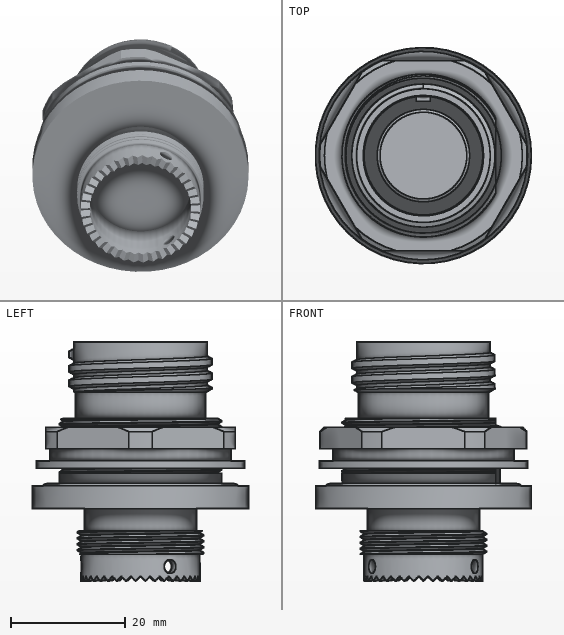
import cadquery as cq
import math

SKIRT_BOTTOM_Z = -12.7
REAR_THREAD_BOTTOM_Z = -7.98
REAR_THREAD_TOP_Z = -3.86
FLANGE_TOP_Z = 4.0
PANEL_THREAD_BOTTOM_Z = 6.23
WASHER_BOTTOM_Z = 7.08
WASHER_TOP_Z = 8.38
NUT_BOTTOM_Z = 10.46
NUT_TOP_Z = 14.3
PANEL_THREAD_TOP_Z = 15.82
COUPLING_BOTTOM_Z = 20.36
TOP_Z = 29.21

FLANGE_RADIUS = 37.85 / 2
SKIRT_RADIUS = 10.43
REAR_NECK_RADIUS = 9.84
FRONT_NECK_RADIUS = 11.42
COUPLING_RADIUS = 11.7
COUPLING_CREST_RADIUS = 12.54
REAR_CREST_RADIUS = 11.08
PANEL_RADIUS = 14.27
PANEL_ROOT_RADIUS = 13.57
SLEEVE_RADIUS = 13.43
NUT_BORE_RADIUS = 13.65
SLEEVE_LIP_HEIGHT = 0.35
WASHER_RADIUS = 18.25
NUT_COLLAR_RADIUS = 15.9

PANEL_FLAT_X = 12.7

NUT_SIDES = 6
NUT_ACROSS_FLATS = 33.26
NUT_CORNER_RADIUS = 18.15
NUT_CHAMFER = 0.82
NUT_TURN = 30

SEAL_CENTRE_RADIUS = 16.3
SEAL_SECTION_RADIUS = 0.95
SEAL_PROUD = 0.42

COUPLING_PITCH = 2.54
COUPLING_ROOT_WIDTH = 1.95
COUPLING_CREST_WIDTH = 1.06
COUPLING_END_Z = 27.03
COUPLING_END_ANGLE = 90
COUPLING_BEVEL_ANGLE = 30
PANEL_PITCH = 1.06
PANEL_ROOT_WIDTH = 0.95
PANEL_RIDGE_Z = 15.07
PANEL_BEVEL_HEIGHT = 0.35
REAR_PITCH = 1.03
REAR_ROOT_WIDTH = 0.9
REAR_RIDGE_Z = -4.93
FINE_CREST_WIDTH = 0.1
FINE_RIDGE_ANGLE = 180

RIDGE_EMBED = 0.05

BORE_RADIUS = 10.4
BORE_MOUTH_RADIUS = 10.55
BORE_MOUTH_DEPTH = 1.0
BORE_DEPTH = 12.0
INSERT_RADIUS = 8.1
INSERT_CHAMFER = 0.5
INSERT_DROP = 0.15
KEY_WIDTH = 2.48
KEY_TIP_Y = 9.49
KEY_TOP_DEPTH = 5.0

SKIRT_BORE_RADIUS = 8.88
TOOTH_COUNT = 38
TOOTH_DEPTH = 0.87
SKIRT_HOLE_DIAMETER = 2.36
SKIRT_HOLE_Z = -10.12
SKIRT_HOLE_ANGLES = (-150, -30, 90)


def cylinder(radius, bottom, top):
    return cq.Workplane("XY").workplane(offset=bottom).circle(radius).extrude(top - bottom)


def ring(outer_radius, inner_radius, bottom, top):
    return cylinder(outer_radius, bottom, top).cut(cylinder(inner_radius, bottom, top))


def threaded_rod(root_radius, crest_radius, root_width, crest_width, pitch, start_z, start_angle, turns):
    """Round rod with a right-handed ridge that starts, centred on start_z, at start_angle."""
    inner = root_radius - RIDGE_EMBED
    slope = (root_width - crest_width) / 2 / (crest_radius - root_radius)
    inner_half = root_width / 2 + RIDGE_EMBED * slope
    crest_half = crest_width / 2
    path = cq.Wire.makeHelix(pitch, pitch * turns, inner)
    ridge = (
        cq.Workplane("XZ")
        .moveTo(inner, -inner_half)
        .lineTo(crest_radius, -crest_half)
        .lineTo(crest_radius, crest_half)
        .lineTo(inner, inner_half)
        .close()
        .sweep(cq.Workplane(path), isFrenet=True)
        .rotate((0, 0, 0), (0, 0, 1), start_angle)
        .translate((0, 0, start_z))
    )
    end_z = start_z + pitch * turns
    return cylinder(root_radius, start_z - pitch, end_z + pitch).union(ridge)


def fine_thread(root_radius, crest_radius, root_width, pitch, ridge_z, bottom, top):
    """Pointed thread filling bottom to top, with a ridge at ridge_z on its -X side."""
    turns_below = math.ceil((ridge_z - bottom) / pitch) + 1
    turns_above = math.ceil((top - ridge_z) / pitch) + 1
    rod = threaded_rod(
        root_radius,
        crest_radius,
        root_width,
        FINE_CREST_WIDTH,
        pitch,
        ridge_z - turns_below * pitch,
        FINE_RIDGE_ANGLE,
        turns_below + turns_above,
    )
    return rod.intersect(cylinder(FLANGE_RADIUS, bottom, top))


def make_shell():
    """Turned rear neck, flange and front neck."""
    shell = cylinder(REAR_NECK_RADIUS, REAR_THREAD_TOP_Z, 0)
    shell = shell.union(cylinder(FLANGE_RADIUS, 0, FLANGE_TOP_Z))
    return shell.union(cylinder(FRONT_NECK_RADIUS, FLANGE_TOP_Z, COUPLING_BOTTOM_Z))


def make_coupling():
    """Front tube with a coarse thread, bevelled at its lower end."""
    turns = math.ceil((COUPLING_END_Z - COUPLING_BOTTOM_Z) / COUPLING_PITCH) + 1
    rod = threaded_rod(
        COUPLING_RADIUS,
        COUPLING_CREST_RADIUS,
        COUPLING_ROOT_WIDTH,
        COUPLING_CREST_WIDTH,
        COUPLING_PITCH,
        COUPLING_END_Z - turns * COUPLING_PITCH,
        COUPLING_END_ANGLE,
        turns,
    )
    bevel_width = FLANGE_RADIUS - FRONT_NECK_RADIUS
    bevel_height = bevel_width * math.tan(math.radians(COUPLING_BEVEL_ANGLE))
    envelope = cylinder(FLANGE_RADIUS, COUPLING_BOTTOM_Z, TOP_Z)
    return rod.intersect(envelope.faces("<Z").chamfer(bevel_height, bevel_width))


def make_panel_neck():
    """Threaded neck with one flat, and the round sleeve and lip that stand out of the flat."""
    neck = cylinder(PANEL_RADIUS, FLANGE_TOP_Z, PANEL_THREAD_BOTTOM_Z)
    neck = neck.union(
        fine_thread(
            PANEL_ROOT_RADIUS,
            PANEL_RADIUS,
            PANEL_ROOT_WIDTH,
            PANEL_PITCH,
            PANEL_RIDGE_Z,
            PANEL_THREAD_BOTTOM_Z,
            PANEL_THREAD_TOP_Z,
        )
    )
    bevelled = cylinder(PANEL_RADIUS, FLANGE_TOP_Z, PANEL_THREAD_TOP_Z)
    bevelled = bevelled.faces(">Z").chamfer(PANEL_BEVEL_HEIGHT, PANEL_RADIUS - PANEL_ROOT_RADIUS)
    neck = neck.intersect(bevelled)
    kept_side = cq.Workplane("XY").box(
        PANEL_FLAT_X + FLANGE_RADIUS, 2 * FLANGE_RADIUS, TOP_Z, centered=(False, True, False)
    )
    neck = neck.intersect(kept_side.translate((-FLANGE_RADIUS, 0, 0)))
    sleeve = cylinder(SLEEVE_RADIUS, FLANGE_TOP_Z, NUT_TOP_Z)
    lip = cylinder(NUT_BORE_RADIUS, NUT_BOTTOM_Z, NUT_TOP_Z + SLEEVE_LIP_HEIGHT)
    lip = lip.faces(">Z").chamfer(SLEEVE_LIP_HEIGHT, NUT_BORE_RADIUS - PANEL_FLAT_X)
    return neck.union(sleeve).union(lip)


def make_nut():
    """Hexagon nut with rounded, chamfered corners, its collar and the washer below."""
    hexagon = (
        cq.Workplane("XY")
        .workplane(offset=NUT_BOTTOM_Z)
        .polygon(NUT_SIDES, NUT_ACROSS_FLATS, circumscribed=True)
        .extrude(NUT_TOP_Z - NUT_BOTTOM_Z)
        .rotate((0, 0, 0), (0, 0, 1), NUT_TURN)
    )
    envelope = cylinder(NUT_CORNER_RADIUS, NUT_BOTTOM_Z, NUT_TOP_Z).faces(">Z").chamfer(NUT_CHAMFER)
    nut = hexagon.intersect(envelope)
    nut = nut.union(ring(NUT_COLLAR_RADIUS, FRONT_NECK_RADIUS, WASHER_TOP_Z, NUT_BOTTOM_Z))
    nut = nut.union(ring(WASHER_RADIUS, FRONT_NECK_RADIUS, WASHER_BOTTOM_Z, WASHER_TOP_Z))
    return nut


def make_seal():
    """Sealing ring of round section."""
    centre_z = FLANGE_TOP_Z + SEAL_PROUD - SEAL_SECTION_RADIUS
    section = cq.Workplane("XZ").center(SEAL_CENTRE_RADIUS, centre_z).circle(SEAL_SECTION_RADIUS)
    return section.revolve(360, (-SEAL_CENTRE_RADIUS, 0, 0), (-SEAL_CENTRE_RADIUS, 1, 0))


def cut_socket(body):
    """Annular socket with a tapered mouth, around a chamfered insert, with a key on its +Y wall."""
    floor_z = TOP_Z - BORE_DEPTH
    bore = cylinder(BORE_RADIUS, floor_z, TOP_Z)
    mouth_floor = cq.Vector(0, 0, TOP_Z - BORE_MOUTH_DEPTH)
    mouth = cq.Solid.makeCone(BORE_RADIUS, BORE_MOUTH_RADIUS, BORE_MOUTH_DEPTH, mouth_floor)
    insert = cylinder(INSERT_RADIUS, floor_z, TOP_Z - INSERT_DROP).faces(">Z").chamfer(INSERT_CHAMFER)
    key = (
        cq.Workplane("XY")
        .workplane(offset=floor_z)
        .center(0, COUPLING_RADIUS)
        .rect(KEY_WIDTH, 2 * (COUPLING_RADIUS - KEY_TIP_Y))
        .extrude(BORE_DEPTH - KEY_TOP_DEPTH)
    )
    return body.cut(bore.union(cq.Workplane(mouth)).cut(insert).cut(key))


def make_skirt():
    """Toothed rear skirt with radial holes, below the rear thread; both are hollow."""
    skirt = cylinder(SKIRT_RADIUS, SKIRT_BOTTOM_Z, REAR_THREAD_BOTTOM_Z)
    hole = cq.Workplane("YZ").center(0, SKIRT_HOLE_Z).circle(SKIRT_HOLE_DIAMETER / 2).extrude(FLANGE_RADIUS)
    for angle in SKIRT_HOLE_ANGLES:
        skirt = skirt.cut(hole.rotate((0, 0, 0), (0, 0, 1), angle))
    tooth_angle = 360 / TOOTH_COUNT
    half_gap = SKIRT_RADIUS * math.tan(math.radians(tooth_angle / 2))
    notch = (
        cq.Workplane("YZ")
        .moveTo(-half_gap, SKIRT_BOTTOM_Z)
        .lineTo(half_gap, SKIRT_BOTTOM_Z)
        .lineTo(0, SKIRT_BOTTOM_Z + TOOTH_DEPTH)
        .close()
        .extrude(FLANGE_RADIUS)
    )
    bore = cylinder(SKIRT_BORE_RADIUS, SKIRT_BOTTOM_Z, REAR_THREAD_TOP_Z)
    skirt = skirt.cut(bore)
    for index in range(TOOTH_COUNT):
        skirt = skirt.cut(notch.rotate((0, 0, 0), (0, 0, 1), index * tooth_angle))
    thread = fine_thread(
        SKIRT_RADIUS,
        REAR_CREST_RADIUS,
        REAR_ROOT_WIDTH,
        REAR_PITCH,
        REAR_RIDGE_Z,
        REAR_THREAD_BOTTOM_Z,
        REAR_THREAD_TOP_Z,
    )
    return skirt.union(thread.cut(bore))


result = make_shell().union(make_seal())
for section in (make_panel_neck(), make_nut(), make_coupling()):
    result = result.union(section)
result = cut_socket(result)
result = result.union(make_skirt())